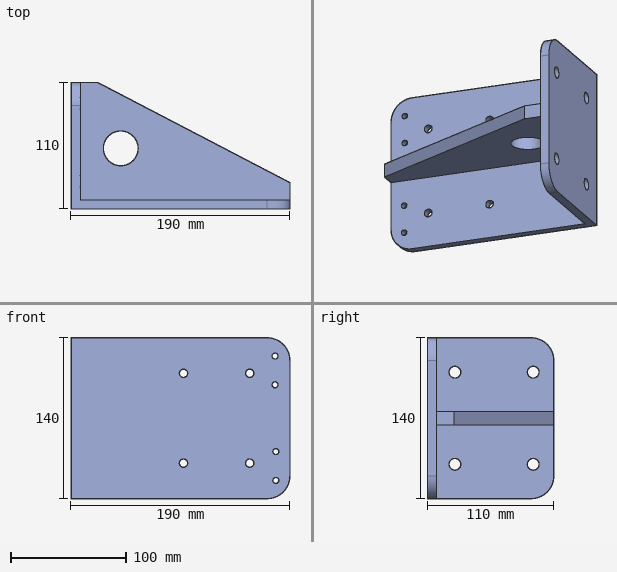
import cadquery as cq

LENGTH_X = 190
DEPTH_Y = 110
HEIGHT_Z = 140
WALL = 8
CORNER_RADIUS = 20

MOUNT_HOLE_DIAMETER = 7
MOUNT_HOLE_X = (97.5, 155)
MOUNT_HOLE_Z = (31, 109)
SMALL_HOLE_DIAMETER = 5
SMALL_HOLE_SPACING = 25
LOWER_PAIR_X = 177.7
LOWER_PAIR_Z = 16
UPPER_PAIR_X = 177
UPPER_PAIR_Z = 99

SIDE_HOLE_DIAMETER = 10
SIDE_HOLE_Y = (24, 92)
SIDE_HOLE_Z = (30, 110)

GUSSET_THICKNESS = 12
GUSSET_BOTTOM_Z = (HEIGHT_Z - GUSSET_THICKNESS) / 2
GUSSET_TIP_WIDTH = 23
GUSSET_HOLE_DIAMETER = 30
GUSSET_HOLE_CENTRE = (43, 52.7)


def y_holes(diameter, centres):
    """Cylinders along +Y that cut through the long plate at the given (x, z) centres."""
    return cq.Workplane("XZ").pushPoints(centres).circle(diameter / 2).extrude(-WALL)


def x_holes(diameter, centres):
    """Cylinders along +X that cut through the short plate at the given (y, z) centres."""
    return cq.Workplane("YZ").pushPoints(centres).circle(diameter / 2).extrude(WALL)


def make_angle_bracket():
    """L-shaped bracket with rounded free corners and bolt holes in both plates."""
    long_plate = cq.Workplane("XY").box(LENGTH_X, WALL, HEIGHT_Z, centered=False)
    long_plate = long_plate.edges("|Y and >X").fillet(CORNER_RADIUS)
    short_plate = cq.Workplane("XY").box(WALL, DEPTH_Y, HEIGHT_Z, centered=False)
    short_plate = short_plate.edges("|X and >Y").fillet(CORNER_RADIUS)
    angle = long_plate.union(short_plate)

    mount_centres = [(x, z) for x in MOUNT_HOLE_X for z in MOUNT_HOLE_Z]
    small_centres = [
        (x, z + offset)
        for x, z in ((LOWER_PAIR_X, LOWER_PAIR_Z), (UPPER_PAIR_X, UPPER_PAIR_Z))
        for offset in (0, SMALL_HOLE_SPACING)
    ]
    side_centres = [(y, z) for y in SIDE_HOLE_Y for z in SIDE_HOLE_Z]

    angle = angle.cut(y_holes(MOUNT_HOLE_DIAMETER, mount_centres))
    angle = angle.cut(y_holes(SMALL_HOLE_DIAMETER, small_centres))
    return angle.cut(x_holes(SIDE_HOLE_DIAMETER, side_centres))


def make_gusset():
    """Triangular gusset with blunt tips and one round hole, set in the inner corner."""
    outline = [
        (WALL, WALL),
        (LENGTH_X, WALL),
        (LENGTH_X, GUSSET_TIP_WIDTH),
        (GUSSET_TIP_WIDTH, DEPTH_Y),
        (WALL, DEPTH_Y),
    ]
    base_plane = cq.Workplane("XY").workplane(offset=GUSSET_BOTTOM_Z)
    plate = base_plane.polyline(outline).close().extrude(GUSSET_THICKNESS)
    hole = (
        base_plane.center(*GUSSET_HOLE_CENTRE)
        .circle(GUSSET_HOLE_DIAMETER / 2)
        .extrude(GUSSET_THICKNESS)
    )
    return plate.cut(hole)


angle_bracket = make_angle_bracket()
gusset = make_gusset()

result = cq.Compound.makeCompound([angle_bracket.val(), gusset.val()])